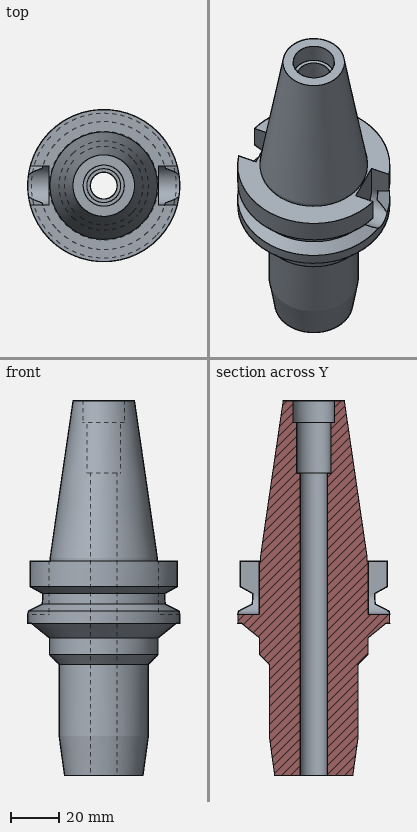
import cadquery as cq
import math


gauge_diameter = 44.45
taper_ratio = 7 / 24
taper_length = 65.1
taper_tip_diameter = gauge_diameter - taper_ratio * taper_length

flange_diameter = 63.0
flange_top = -1.3
flange_bottom = -27.0
groove_root_diameter = 53.0
groove_center = -16.9
groove_mouth_width = 10.1
groove_wall_angle = 30.0
groove_depth = (flange_diameter - groove_root_diameter) / 2
groove_wall_height = groove_depth * math.tan(math.radians(groove_wall_angle))
groove_mouth_top = groove_center + groove_mouth_width / 2
groove_mouth_bottom = groove_center - groove_mouth_width / 2
groove_root_top = groove_mouth_top - groove_wall_height
groove_root_bottom = groove_mouth_bottom + groove_wall_height

flange_cone_diameter = 60.0
collar_diameter = 45.0
collar_top = -33.1
collar_bottom = -40.0
nose_diameter = 37.0
nose_top = collar_bottom - (collar_diameter - nose_diameter) / 2
nose_tip_diameter = 32.5
nose_tip_taper_top = -73.7
nose_bottom = -90.0

counterbore_diameter = 17.0
counterbore_depth = 9.0
thread_core_diameter = 14.0
thread_depth = 30.0
through_diameter = 11.0

slot_width = 16.1
slot_floor_distance = 22.6
slot_bottom = -23.3
slot_arc_center = slot_bottom + slot_width / 2


def holder_body():
    """Solid of revolution holding every outer diameter."""
    profile = [
        (taper_tip_diameter, taper_length),
        (gauge_diameter, 0),
        (gauge_diameter, flange_top),
        (flange_diameter, flange_top),
        (flange_diameter, groove_mouth_top),
        (groove_root_diameter, groove_root_top),
        (groove_root_diameter, groove_root_bottom),
        (flange_diameter, groove_mouth_bottom),
        (flange_diameter, flange_bottom),
        (flange_cone_diameter, flange_bottom),
        (collar_diameter, collar_top),
        (collar_diameter, collar_bottom),
        (nose_diameter, nose_top),
        (nose_diameter, nose_tip_taper_top),
        (nose_tip_diameter, nose_bottom),
    ]
    points = [(0, taper_length)]
    points += [(diameter / 2, height) for diameter, height in profile]
    points += [(0, nose_bottom)]
    return cq.Workplane("XZ").polyline(points).close().revolve(360, (0, 0), (0, 1))


def bore_cut(diameter, depth):
    """Round cutter entering from the small end of the taper."""
    return cq.Workplane("XY").workplane(offset=taper_length).circle(diameter / 2).extrude(-depth)


def drive_slot(side):
    """Cutter for one round-bottomed slot, open upward and outward; side is -1 or +1 along X."""
    half_width = slot_width / 2
    return (
        cq.Workplane("YZ")
        .workplane(offset=side * slot_floor_distance)
        .moveTo(-half_width, flange_top)
        .lineTo(-half_width, slot_arc_center)
        .threePointArc((0, slot_bottom), (half_width, slot_arc_center))
        .lineTo(half_width, flange_top)
        .close()
        .extrude(side * flange_diameter / 2)
    )


result = holder_body()
for bore_diameter, bore_depth in [
    (counterbore_diameter, counterbore_depth),
    (thread_core_diameter, thread_depth),
    (through_diameter, taper_length - nose_bottom),
]:
    result = result.cut(bore_cut(bore_diameter, bore_depth))
for slot_side in (-1, 1):
    result = result.cut(drive_slot(slot_side))